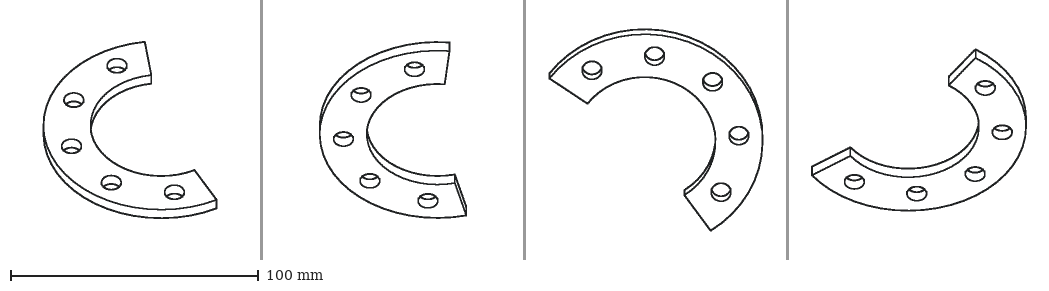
import cadquery as cq
import math

outer_radius = 47.625
inner_radius = 28.575
thickness = 5.0
start_angle = 150.0
sweep_angle = 200.0
hole_count = 5
hole_diameter = 7.94

end_angle = start_angle + sweep_angle
middle_angle = (start_angle + end_angle) / 2
hole_circle_radius = (inner_radius + outer_radius) / 2
hole_pitch_angle = sweep_angle / hole_count


def polar_point(radius, angle):
    """Point at a radius and angle about the ring centre."""
    return (
        radius * math.cos(math.radians(angle)),
        radius * math.sin(math.radians(angle)),
    )


def ring_segment():
    """Flat ring segment with radial ends, centred on the Z axis."""
    return (
        cq.Workplane("XY")
        .moveTo(*polar_point(outer_radius, start_angle))
        .threePointArc(
            polar_point(outer_radius, middle_angle),
            polar_point(outer_radius, end_angle),
        )
        .lineTo(*polar_point(inner_radius, end_angle))
        .threePointArc(
            polar_point(inner_radius, middle_angle),
            polar_point(inner_radius, start_angle),
        )
        .close()
        .extrude(thickness)
    )


def bolt_holes():
    """Through-hole cutters, half a pitch in from each end of the segment."""
    centres = [
        polar_point(hole_circle_radius, start_angle + (index + 0.5) * hole_pitch_angle)
        for index in range(hole_count)
    ]
    return cq.Workplane("XY").pushPoints(centres).circle(hole_diameter / 2).extrude(thickness)


result = ring_segment().cut(bolt_holes())